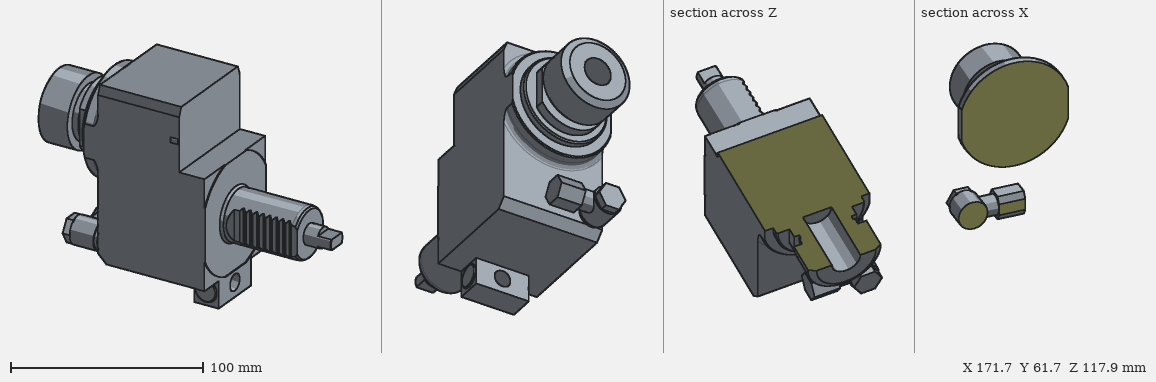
import cadquery as cq
import math


half_width = 30.0
housing_front = 44.3
housing_top = 33.6
housing_bottom = -68.3
head_rear = 93.9
foot_rear = 109.3
step_height = -3.5
front_chamfer = 5.1
top_chamfer_width = 2.0
top_chamfer_height = 5.1

flange_front = 35.5
flange_radius = 31.5
flange_chamfer = 0.7
flange_fillet = 3.1

cap_rear = 19.9
cap_radius = 21.0
cap_chamfer_length = 2.2
cap_face_radius = 17.0
front_neck_rear = 23.5
front_neck_radius = 16.1
rear_neck_rear = 25.5
rear_neck_radius = 15.1
wrench_collar_rear = 31.2
wrench_flat_offset = 18.0
ring_radius = 25.4
ring_chamfer = 0.9
bore_radius = 8.0

shank_axis = -35.9
shank_radius = 15.0
shank_seat_radius = 34.0
shank_seat_rear = 109.9
root_radius = 16.0
root_rear = 111.5
taper_start = 151.5
taper_end = 153.6
taper_radius = 14.6
shank_end = 154.8
shank_end_radius = 13.7
drive_radius = 6.0
drive_end = 171.7
drive_chamfer = 0.3
tang_start = 163.2
tang_half_thickness = 3.1

flat_offset = 11.8
flat_start = 116.4
tooth_count = 8
first_groove = 121.4
last_groove = 149.3
tooth_pitch = (last_groove - first_groove) / (tooth_count - 1)
groove_depth = 1.29
groove_mouth = 3.5
groove_floor = 0.5

nozzle_y = -23.5
nozzle_z = -56.3
nozzle_radius = 8.2
nozzle_neck_radius = 7.5
nozzle_front = 23.5
nozzle_hex_rear = 28.0
nozzle_body_rear = 42.4
hex_across_flats = 13.9
fitting_x = 34.3
fitting_hex_start = -9.0
fitting_hex_end = 5.8
fitting_stem_radius = 5.7

lug_front = 94.4
lug_half_width = 32.1 / 2
lug_bottom = -84.3
lug_center_x = 101.6
lug_center_z = -75.7
lug_hole_radius = 4.8
plug_base_radius = 6.7
plug_face_radius = 6.0
plug_height = 0.7

pin_front = 88.7
pin_rear = 93.4
pin_z = 14.0
pin_radius = 2.5
pin_height = 0.5


def box(x_range, y_range, z_range):
    """Box between the given limits."""
    sizes = [high - low for low, high in (x_range, y_range, z_range)]
    corner = (x_range[0], y_range[0], z_range[0])
    return cq.Workplane("XY").box(*sizes, centered=False).translate(corner)


def x_cylinder(x_start, x_end, radius, y=0.0, z=0.0):
    """Cylinder along X."""
    return cq.Workplane("YZ", origin=(x_start, y, z)).circle(radius).extrude(x_end - x_start)


def turned(profile, z=0.0):
    """Revolve (x, radius) points, which begin and end on the axis, about an axis along X."""
    outline = cq.Workplane("XY").polyline(profile).close()
    return outline.revolve(360, (0, 0, 0), (1, 0, 0)).translate((0, 0, z))


def housing_outline():
    """Housing seen along X, reaching from flange to shank seat, with bevelled top edges."""
    bevel_bottom = housing_top - top_chamfer_height
    bevel_top = half_width - top_chamfer_width
    section = [
        (-half_width, housing_bottom),
        (half_width, housing_bottom),
        (half_width, bevel_bottom),
        (bevel_top, housing_top),
        (-bevel_top, housing_top),
        (-half_width, bevel_bottom),
    ]
    plane = cq.Workplane("YZ", origin=(flange_front, 0, 0))
    return plane.polyline(section).close().extrude(shank_seat_rear - flange_front)


def housing_block():
    """Stepped block with a bevelled lower front edge."""
    profile = [
        (housing_front, housing_top),
        (head_rear, housing_top),
        (head_rear, step_height),
        (foot_rear, step_height),
        (foot_rear, housing_bottom),
        (housing_front + front_chamfer, housing_bottom),
        (housing_front, housing_bottom + front_chamfer),
    ]
    plane = cq.Workplane("XZ", origin=(0, half_width, 0))
    return plane.polyline(profile).close().extrude(2 * half_width)


def spindle_flange():
    """Round boss that flares into the housing front through a concave fillet."""
    fillet_start = housing_front - flange_fillet
    fillet_mid = flange_fillet * math.sqrt(0.5)
    outer_radius = flange_radius + flange_fillet
    profile = (
        cq.Workplane("XY")
        .moveTo(flange_front, 0)
        .lineTo(flange_front, flange_radius - flange_chamfer)
        .lineTo(flange_front + flange_chamfer, flange_radius)
        .lineTo(fillet_start, flange_radius)
        .threePointArc(
            (fillet_start + fillet_mid, outer_radius - fillet_mid),
            (housing_front, outer_radius),
        )
        .lineTo(housing_front, 0)
        .close()
    )
    return profile.revolve(360, (0, 0, 0), (1, 0, 0))


def shank_seat():
    """Thin round pad on the rear of the foot, cut off by the foot's edges."""
    pad = x_cylinder(foot_rear, shank_seat_rear, shank_seat_radius, z=shank_axis)
    foot = box((foot_rear, shank_seat_rear), (-half_width, half_width), (housing_bottom, step_height))
    return pad.intersect(foot)


def spindle_nose():
    """Clamping cap, stepped neck, collar with two wrench flats and sealing ring."""
    cap_and_neck = turned([
        (0, 0),
        (0, cap_face_radius),
        (cap_chamfer_length, cap_radius),
        (cap_rear, cap_radius),
        (cap_rear, front_neck_radius),
        (front_neck_rear, front_neck_radius),
        (front_neck_rear, rear_neck_radius),
        (rear_neck_rear, rear_neck_radius),
        (rear_neck_rear, 0),
    ])
    flats = box(
        (rear_neck_rear, wrench_collar_rear),
        (-wrench_flat_offset, wrench_flat_offset),
        (-cap_radius, cap_radius),
    )
    collar = x_cylinder(rear_neck_rear, wrench_collar_rear, cap_radius).intersect(flats)
    ring = turned([
        (wrench_collar_rear, 0),
        (wrench_collar_rear, ring_radius - ring_chamfer),
        (wrench_collar_rear + ring_chamfer, ring_radius),
        (flange_front, ring_radius),
        (flange_front, 0),
    ])
    return cap_and_neck.union(collar).union(ring)


def shank_flat_cut():
    """Flat with a 45 degree run-in, taken off the -Y side of the shank."""
    depth = root_radius - flat_offset
    profile = [
        (flat_start, -flat_offset),
        (shank_end, -flat_offset),
        (shank_end, -root_radius),
        (flat_start - depth, -root_radius),
    ]
    plane = cq.Workplane("XY", origin=(0, 0, shank_axis - shank_radius))
    return plane.polyline(profile).close().extrude(2 * shank_radius)


def tooth_groove_cut(center_x):
    """One V-shaped groove across the shank flat."""
    floor_y = groove_depth - flat_offset
    mouth_y = -flat_offset
    profile = [
        (center_x - groove_floor / 2, floor_y),
        (center_x + groove_floor / 2, floor_y),
        (center_x + groove_mouth / 2, mouth_y),
        (center_x - groove_mouth / 2, mouth_y),
    ]
    plane = cq.Workplane("XY", origin=(0, 0, shank_axis - shank_radius))
    return plane.polyline(profile).close().extrude(2 * shank_radius)


def shank():
    """Round shank with a flared root, a tapered end and a toothed flat."""
    body = turned([
        (foot_rear, 0),
        (foot_rear, root_radius),
        (shank_seat_rear, root_radius),
        (root_rear, shank_radius),
        (taper_start, shank_radius),
        (taper_end, taper_radius),
        (shank_end, shank_end_radius),
        (shank_end, 0),
    ], z=shank_axis)
    body = body.cut(shank_flat_cut())
    for index in range(tooth_count):
        body = body.cut(tooth_groove_cut(first_groove + index * tooth_pitch))
    return body


def drive_tang():
    """Drive shaft whose tip is flattened above and below."""
    shaft = x_cylinder(shank_end, drive_end, drive_radius, z=shank_axis)
    shaft = shaft.faces(">X").chamfer(drive_chamfer)
    for side in (-1, 1):
        inner = shank_axis + side * tang_half_thickness
        outer = shank_axis + side * drive_radius
        z_range = sorted((inner, outer))
        shaft = shaft.cut(box((tang_start, drive_end), (-drive_radius, drive_radius), z_range))
    return shaft


def coolant_nozzle():
    """Hex-headed nozzle on the housing front with a hex fitting screwed into its side."""
    hex_diameter = hex_across_flats / math.cos(math.pi / 6)
    neck = x_cylinder(nozzle_body_rear, housing_front, nozzle_neck_radius, nozzle_y, nozzle_z)
    body = x_cylinder(nozzle_hex_rear, nozzle_body_rear, nozzle_radius, nozzle_y, nozzle_z)
    head = (
        cq.Workplane("YZ", origin=(nozzle_front, nozzle_y, nozzle_z))
        .polygon(6, hex_diameter)
        .extrude(nozzle_hex_rear - nozzle_front)
    )
    stem = (
        cq.Workplane("XZ", origin=(fitting_x, fitting_hex_start, nozzle_z))
        .circle(fitting_stem_radius)
        .extrude(fitting_hex_start - nozzle_y)
    )
    fitting = (
        cq.Workplane("XZ", origin=(fitting_x, fitting_hex_end, nozzle_z))
        .polygon(6, hex_diameter)
        .extrude(fitting_hex_end - fitting_hex_start)
    )
    return neck.union(body).union(head).union(stem).union(fitting)


def lug():
    """Block below the foot with a cross hole along X and a low conical plug on each side."""
    block = box(
        (lug_front, foot_rear),
        (-lug_half_width, lug_half_width),
        (lug_bottom, housing_bottom),
    )
    plug_profile = [
        (0, 0),
        (plug_base_radius, 0),
        (plug_base_radius, lug_half_width),
        (plug_face_radius, lug_half_width + plug_height),
        (0, lug_half_width + plug_height),
    ]
    plug = cq.Workplane("XY").polyline(plug_profile).close().revolve(360, (0, 0, 0), (0, 1, 0))
    for plug_side in (plug, plug.mirror("XZ")):
        block = block.union(plug_side.translate((lug_center_x, 0, lug_center_z)))
    return block.cut(x_cylinder(lug_front, foot_rear, lug_hole_radius, z=lug_center_z))


def index_pin():
    """Pin along X sunk into the -Y side so that only a shallow strip stands proud."""
    center_y = pin_radius - half_width - pin_height
    return x_cylinder(pin_front, pin_rear, pin_radius, center_y, pin_z)


result = (
    housing_block()
    .union(spindle_flange())
    .union(shank_seat())
    .intersect(housing_outline())
    .union(spindle_nose())
    .union(shank())
    .union(drive_tang())
    .union(coolant_nozzle())
    .union(lug())
    .union(index_pin())
    .cut(x_cylinder(0, flange_front, bore_radius))
)